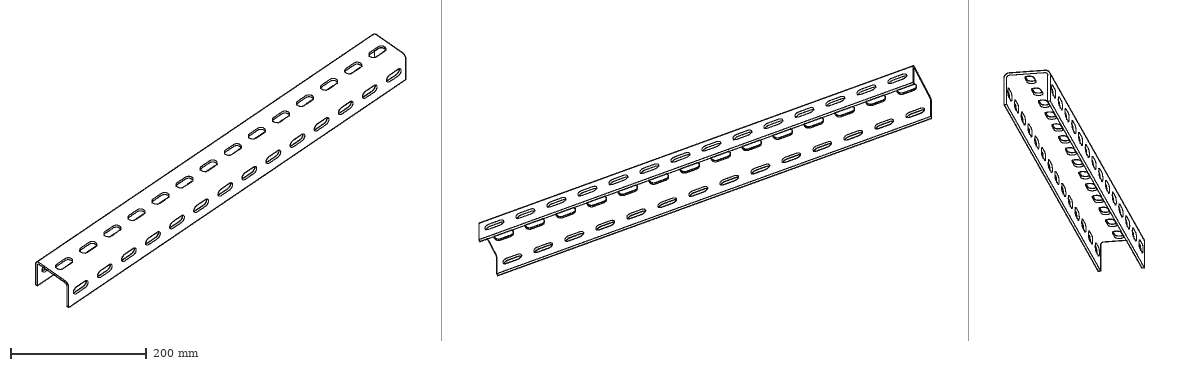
import cadquery as cq

length = 700.0
width = 70.0
height = 50.0
thickness = 4.0
outer_bend_radius = 2 * thickness
inner_bend_radius = outer_bend_radius - thickness

slot_count = 14
slot_pitch = length / slot_count
slot_length = 30.0
slot_width = 13.0
flange_slot_height = height / 2


def channel():
    """Bent sheet profile extruded along Y, centred on the origin in X and Y."""
    outer = (
        cq.Workplane("XY")
        .box(width, length, height, centered=(True, True, False))
        .edges("|Y and >Z")
        .fillet(outer_bend_radius)
    )
    inner = (
        cq.Workplane("XY")
        .box(width - 2 * thickness, length, height - thickness, centered=(True, True, False))
        .edges("|Y and >Z")
        .fillet(inner_bend_radius)
    )
    return outer.cut(inner)


def web_slots():
    """Row of vertical cutters that pierce only the web."""
    return (
        cq.Workplane("XY", origin=(0, 0, height - thickness))
        .rarray(7, slot_pitch, 1, slot_count)
        .slot2D(slot_length, slot_width, 90)
        .extrude(thickness)
    )


def flange_slots():
    """Row of horizontal cutters that pierce both flanges."""
    return (
        cq.Workplane("YZ", origin=(0, 0, flange_slot_height))
        .rarray(slot_pitch, 7, slot_count, 1)
        .slot2D(slot_length, slot_width)
        .extrude(width / 2, both=True)
    )


result = channel().cut(web_slots()).cut(flange_slots())